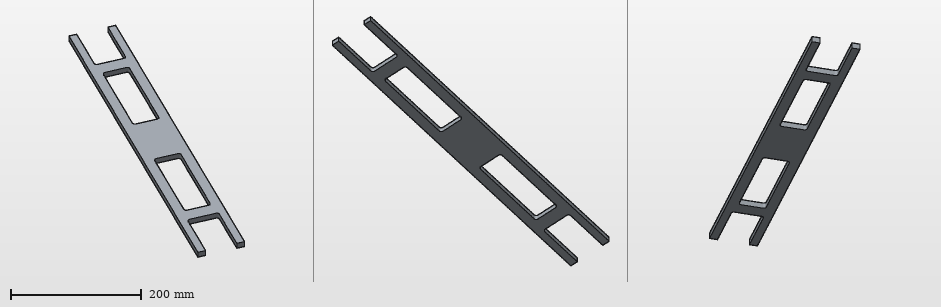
import cadquery as cq

length = 569.0
width = 76.0
thickness = 9.5

slot_depth = 81.0
slot_width = 50.5

window_length = 135.5
window_width = 42.5
window_offset = 113.0

corner_radius = 4.0


def end_slot(side):
    """Cutter for one open end, rounded only at its inner corners."""
    inner_face = "<X" if side > 0 else ">X"
    return (
        cq.Workplane("XY")
        .box(slot_depth, slot_width, thickness)
        .faces(inner_face)
        .edges("|Z")
        .fillet(corner_radius)
        .translate((side * (length - slot_depth) / 2, 0, 0))
    )


def window(side):
    """Cutter for one window with four rounded corners."""
    return (
        cq.Workplane("XY")
        .box(window_length, window_width, thickness)
        .edges("|Z")
        .fillet(corner_radius)
        .translate((side * window_offset, 0, 0))
    )


result = cq.Workplane("XY").box(length, width, thickness)
for side in (-1, 1):
    result = result.cut(end_slot(side)).cut(window(side))